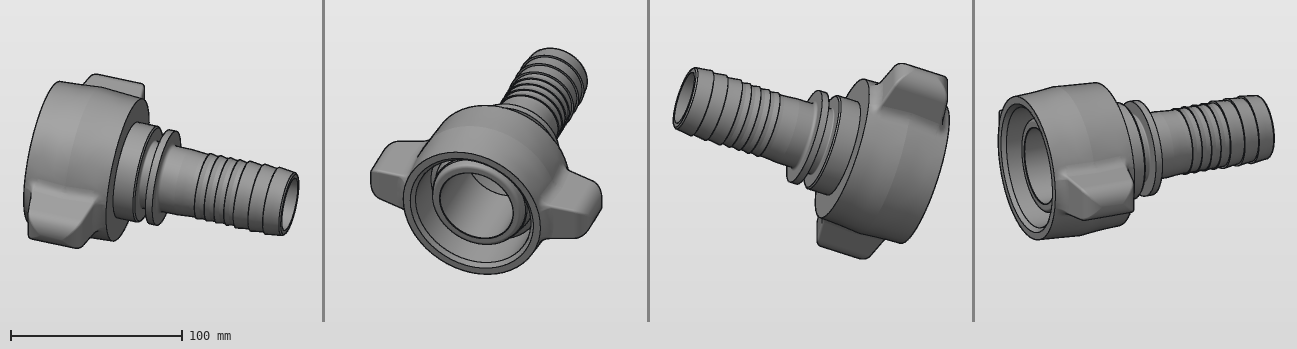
import cadquery as cq
import math

total_length = 149.0
overall_width = 137.0

nut_length = 50.2
nut_mid = nut_length / 2
nut_mid_diameter = 88.0
nut_end_diameter = 84.6
nut_bore_diameter = 71.2
nut_bore_depth = 40.2
nut_mouth_diameter = 76.0
nut_mouth_chamfer = (nut_mouth_diameter - nut_bore_diameter) / 2

wing_tip_y = overall_width / 2
wing_root_y = 32.8
wing_tip_half_length = 15.2
wing_end_draft = math.radians(10)
wing_face_draft = math.radians(7)
wing_round_radius = 10.3
wing_edge_radius = 1.5
wing_root_radius = 7.5
wing_blend_y = 46.2

nose_x = 8.0
nose_rim_diameter = 55.5
nose_rim_radius = 2.1
nose_base_diameter = 61.0
nose_half_angle = math.radians(12)
flange_diameter = 68.0
flange_half_angle = math.radians(60)

nose_bore_diameter = 45.0
nose_bore_chamfer = 0.3
nose_bore_end_x = 53.6
bore_diameter = 31.0
bore_step_half_angle = math.radians(60)

ring_x = 14.3
ring_section_radius = 1.2
ring_outer_diameter = 58.0
ring_diameter = ring_outer_diameter - 2 * ring_section_radius

sleeve_diameter = 57.0
sleeve_end_x = 63.2
sleeve_chamfer = 0.9
neck_diameter = 40.0
neck_fillet = 0.7
collar_start_x = 69.7
collar_end_x = 73.9
collar_diameter = 56.0
shank_diameter = 39.0
shank_fillet = 2.0
shank_end_x = 85.0

stem_diameter = 37.5
stem_start_x = 94.0
small_barb_diameter = 39.0
small_barb_length = 3.1
small_barb_pitch = 6.0
small_barb_count = 4
first_small_barb_x = 96.8
large_barb_diameter = 40.0
large_barb_pitch = 9.0
large_barb_count = 3
first_large_barb_x = 120.7
stem_end_chamfer = 0.9


def revolve_about_x(outline):
    """Solid of revolution about X from a Workplane wire of (x, radius) points."""
    return outline.close().revolve(360, (0, 0, 0), (1, 0, 0))


def make_wing():
    """One +Y wing, drafted on all sides, with a fully rounded tip and rounded corners."""
    root_half_length = wing_tip_half_length + (wing_tip_y - wing_root_y) * math.tan(wing_end_draft)
    plan = (
        cq.Workplane("XY", origin=(nut_mid, 0, 0))
        .moveTo(-root_half_length, wing_root_y)
        .lineTo(root_half_length, wing_root_y)
        .lineTo(wing_tip_half_length, wing_tip_y)
        .lineTo(-wing_tip_half_length, wing_tip_y)
        .close()
        .extrude(nut_length, both=True)
        .edges("|Z and >Y")
        .fillet(wing_round_radius)
    )
    tangent_y = wing_tip_y - wing_round_radius * (1 - math.sin(wing_face_draft))
    tangent_z = wing_round_radius * math.cos(wing_face_draft)
    root_z = tangent_z + (tangent_y - wing_root_y) * math.tan(wing_face_draft)
    section = (
        cq.Workplane("YZ")
        .moveTo(wing_root_y, -root_z)
        .lineTo(tangent_y, -tangent_z)
        .threePointArc((wing_tip_y, 0), (tangent_y, tangent_z))
        .lineTo(wing_root_y, root_z)
        .close()
        .extrude(2 * nut_length, both=True)
    )
    wing = plan.intersect(section)
    side_edges = cq.selectors.BoxSelector(
        (nut_mid - root_half_length, wing_root_y, -root_z),
        (nut_mid + root_half_length, tangent_y, root_z),
    )
    return wing.edges(side_edges).edges("not #X").edges("not |X").edges("not |Z").fillet(wing_edge_radius)


def make_barrel():
    """Double-tapered barrel, longer than the nut so that the wing roots can blend past its ends."""
    overrun = nut_mid
    overrun_diameter = 2 * nut_end_diameter - nut_mid_diameter
    return revolve_about_x(
        cq.Workplane("XY")
        .moveTo(-overrun, 0)
        .lineTo(-overrun, overrun_diameter / 2)
        .lineTo(nut_mid, nut_mid_diameter / 2)
        .lineTo(nut_length + overrun, overrun_diameter / 2)
        .lineTo(nut_length + overrun, 0)
    )


def make_nut_cavity():
    """Chamfered bore and the smaller hole through which the sleeve leaves the nut."""
    return revolve_about_x(
        cq.Workplane("XY")
        .lineTo(0, nut_mouth_diameter / 2)
        .lineTo(nut_mouth_chamfer, nut_bore_diameter / 2)
        .lineTo(nut_bore_depth, nut_bore_diameter / 2)
        .lineTo(nut_bore_depth, sleeve_diameter / 2)
        .lineTo(nut_length, sleeve_diameter / 2)
        .lineTo(nut_length, 0)
    )


def make_nut():
    """Barrel with two blended wings, trimmed to length and bored."""
    nut = make_barrel()
    wing = make_wing()
    for side_wing in (wing, wing.mirror("XZ")):
        nut = nut.union(side_wing)
    for side in (-1, 1):
        root_edges = cq.selectors.BoxSelector(
            (nut_mid - nut_length, side * wing_root_y, -wing_root_y / 2),
            (nut_mid + nut_length, side * wing_blend_y, wing_root_y / 2),
        )
        nut = nut.edges(root_edges).fillet(wing_root_radius)
    length_trim = cq.Workplane("YZ").rect(2 * overall_width, 2 * overall_width).extrude(nut_length)
    return nut.intersect(length_trim).cut(make_nut_cavity())


def make_tail_outline():
    """Outer half profile of the hose tail, from the nose to the hose end."""
    nose_rim_center_x = nose_x + nose_rim_radius
    face_radius = nose_rim_diameter / 2 - nose_rim_radius * math.cos(nose_half_angle)
    rim_end_x = nose_rim_center_x - nose_rim_radius * math.sin(nose_half_angle)
    rim_mid_angle = (math.pi / 2 + nose_half_angle) / 2
    rim_mid = (
        nose_rim_center_x - nose_rim_radius * math.sin(rim_mid_angle),
        face_radius + nose_rim_radius * math.cos(rim_mid_angle),
    )
    nose_end_x = rim_end_x + (nose_base_diameter - nose_rim_diameter) / 2 / math.tan(nose_half_angle)
    flange_x = nose_end_x + (flange_diameter - nose_base_diameter) / 2 / math.tan(flange_half_angle)
    outline = (
        cq.Workplane("XY")
        .moveTo(nose_x, 0)
        .lineTo(nose_x, face_radius)
        .threePointArc(rim_mid, (rim_end_x, nose_rim_diameter / 2))
        .lineTo(nose_end_x, nose_base_diameter / 2)
        .lineTo(flange_x, flange_diameter / 2)
        .lineTo(nut_bore_depth, flange_diameter / 2)
        .lineTo(nut_bore_depth, sleeve_diameter / 2)
        .lineTo(sleeve_end_x - sleeve_chamfer, sleeve_diameter / 2)
        .lineTo(sleeve_end_x, sleeve_diameter / 2 - sleeve_chamfer)
        .lineTo(sleeve_end_x, neck_diameter / 2 + neck_fillet)
        .radiusArc((sleeve_end_x + neck_fillet, neck_diameter / 2), -neck_fillet)
        .lineTo(collar_start_x - neck_fillet, neck_diameter / 2)
        .radiusArc((collar_start_x, neck_diameter / 2 + neck_fillet), -neck_fillet)
        .lineTo(collar_start_x, collar_diameter / 2)
        .lineTo(collar_end_x, collar_diameter / 2)
        .lineTo(collar_end_x, shank_diameter / 2 + shank_fillet)
        .radiusArc((collar_end_x + shank_fillet, shank_diameter / 2), -shank_fillet)
        .lineTo(shank_end_x, shank_diameter / 2)
        .lineTo(stem_start_x, stem_diameter / 2)
    )
    for i in range(small_barb_count):
        barb_x = first_small_barb_x + i * small_barb_pitch
        outline = (
            outline.lineTo(barb_x, stem_diameter / 2)
            .lineTo(barb_x, small_barb_diameter / 2)
            .lineTo(barb_x + small_barb_length, stem_diameter / 2)
        )
    for i in range(large_barb_count):
        barb_x = first_large_barb_x + i * large_barb_pitch
        outline = outline.lineTo(barb_x, stem_diameter / 2).lineTo(barb_x, large_barb_diameter / 2)
    return (
        outline.lineTo(total_length - stem_end_chamfer, stem_diameter / 2)
        .lineTo(total_length, stem_diameter / 2 - stem_end_chamfer)
        .lineTo(total_length, 0)
    )


def make_tail_bore():
    """Wide bore behind the nose, stepping down conically to the bore of the stem."""
    step_end_x = nose_bore_end_x + (nose_bore_diameter - bore_diameter) / 2 / math.tan(bore_step_half_angle)
    return revolve_about_x(
        cq.Workplane("XY")
        .moveTo(nose_x, 0)
        .lineTo(nose_x, nose_bore_diameter / 2 + nose_bore_chamfer)
        .lineTo(nose_x + nose_bore_chamfer, nose_bore_diameter / 2)
        .lineTo(nose_bore_end_x, nose_bore_diameter / 2)
        .lineTo(step_end_x, bore_diameter / 2)
        .lineTo(total_length, bore_diameter / 2)
        .lineTo(total_length, 0)
    )


def make_o_ring():
    """Round-section ring around the X axis."""
    ring = cq.Solid.makeTorus(
        ring_diameter / 2, ring_section_radius, cq.Vector(ring_x, 0, 0), cq.Vector(1, 0, 0)
    )
    return cq.Workplane("XY").add(ring)


def make_tail():
    """Hose tail with the ring groove shaped to the ring itself."""
    return revolve_about_x(make_tail_outline()).cut(make_tail_bore()).cut(make_o_ring())


nut = make_nut()
tail = make_tail()
o_ring = make_o_ring()

result = cq.Compound.makeCompound([nut.val(), tail.val(), o_ring.val()])